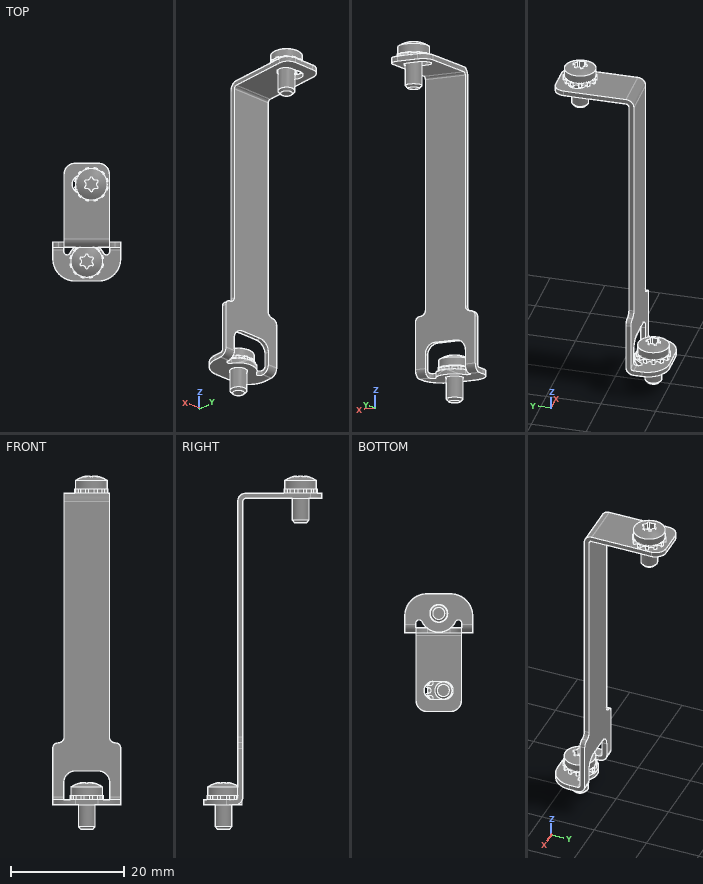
import cadquery as cq
import math

sheet = 0.95
bracket_height = 54.95
strip_width = 8.05
foot_width = 12.0
foot_reach = 6.0
top_reach = 14.8
bend_inner = 0.5
bend_outer = bend_inner + sheet
foot_corner = 4.0
top_corner = 2.0
shoulder_radius = (foot_width - strip_width) / 4
shoulder_top = 11.95

window_top = 6.0
window_corner = 2.0
tab_radius = 3.3
relief_radius = 0.55

hole_diameter = 3.2
slot_length = 5.1
foot_screw_y = -2.5
top_screw_x = 0.8
top_screw_y = 11.1

shank_radius = 1.5
shank_length = 6.0
tip_radius = 1.05
tip_height = 0.5
head_radius = 2.8
head_side = 1.5
dome_rise = 0.9
lobe_count = 6
lobe_radius = 1.3
lobe_corner_radius = 1.25
lobe_half_angle = 8
valley_radius = 0.95
recess_depth = 1.5

washer_thickness = 0.75
washer_radius = 3.0
tooth_count = 12
gap_width = 1.0
gap_root_radius = 2.2


def polar(radius, degrees):
    angle = math.radians(degrees)
    return radius * math.cos(angle), radius * math.sin(angle)


def make_bent_sheet():
    """Full-width sheet: upright with the foot flange forward and the top flange backward."""
    foot_bend = (-bend_inner, bend_outer)
    top_bend = (bend_outer, bracket_height - bend_outer)
    diagonal = math.sqrt(0.5)
    profile = (
        cq.Workplane("YZ")
        .moveTo(-foot_reach, 0)
        .lineTo(foot_bend[0], 0)
        .threePointArc(
            (foot_bend[0] + bend_outer * diagonal, foot_bend[1] - bend_outer * diagonal),
            (sheet, bend_outer),
        )
        .lineTo(sheet, top_bend[1])
        .threePointArc(
            (top_bend[0] - bend_inner * diagonal, top_bend[1] + bend_inner * diagonal),
            (top_bend[0], bracket_height - sheet),
        )
        .lineTo(top_reach, bracket_height - sheet)
        .lineTo(top_reach, bracket_height)
        .lineTo(top_bend[0], bracket_height)
        .threePointArc(
            (top_bend[0] - bend_outer * diagonal, top_bend[1] + bend_outer * diagonal),
            (0, top_bend[1]),
        )
        .lineTo(0, bend_outer)
        .threePointArc(
            (foot_bend[0] + bend_inner * diagonal, foot_bend[1] - bend_inner * diagonal),
            (foot_bend[0], sheet),
        )
        .lineTo(-foot_reach, sheet)
        .close()
    )
    return profile.extrude(foot_width / 2, both=True)


def make_side_trim(side):
    """Waste beside the narrow strip, ending at an S-shaped shoulder of two quarter arcs."""
    arc_sag = shoulder_radius * math.sqrt(0.5)
    inner = strip_width / 2
    middle = inner + shoulder_radius
    outer = foot_width / 2
    shoulder_middle = shoulder_top - shoulder_radius
    shoulder_bottom = shoulder_middle - shoulder_radius
    return (
        cq.Workplane("XZ", origin=(0, top_reach, 0))
        .moveTo(side * inner, bracket_height)
        .lineTo(side * inner, shoulder_top)
        .threePointArc(
            (side * (middle - arc_sag), shoulder_top - arc_sag),
            (side * middle, shoulder_middle),
        )
        .threePointArc(
            (side * (middle + arc_sag), shoulder_bottom + arc_sag),
            (side * outer, shoulder_bottom),
        )
        .lineTo(side * outer, bracket_height)
        .close()
        .extrude(top_reach + foot_reach)
    )


def make_window():
    """Opening in the upright above the foot flange, with rounded upper corners."""
    depth = sheet + bend_inner
    return (
        cq.Workplane("XY", origin=(0, sheet - depth / 2, sheet))
        .rect(strip_width, depth)
        .extrude(window_top - sheet)
        .edges("|Y and >Z")
        .fillet(window_corner)
    )


def make_foot_notch():
    """Notch through the foot bend, leaving a round tab between two rounded reliefs."""
    half_width = strip_width / 2
    relief_x = half_width - relief_radius
    centre_distance = tab_radius + relief_radius
    relief_y = foot_screw_y + math.sqrt(centre_distance**2 - relief_x**2)
    tangent_x = relief_x * tab_radius / centre_distance
    tangent_y = foot_screw_y + (relief_y - foot_screw_y) * tab_radius / centre_distance
    relief_bottom = relief_y - relief_radius
    return (
        cq.Workplane("XY")
        .moveTo(-half_width, sheet)
        .lineTo(-half_width, relief_y)
        .threePointArc((-relief_x, relief_bottom), (-tangent_x, tangent_y))
        .threePointArc((0, foot_screw_y + tab_radius), (tangent_x, tangent_y))
        .threePointArc((relief_x, relief_bottom), (half_width, relief_y))
        .lineTo(half_width, sheet)
        .close()
        .extrude(sheet)
    )


def make_bracket():
    body = make_bent_sheet()
    for side in (-1, 1):
        body = body.cut(make_side_trim(side))
    body = body.edges("|Z and <Y").fillet(foot_corner)
    body = body.edges("|Z and >Y").fillet(top_corner)
    body = body.cut(make_window()).cut(make_foot_notch())

    tab = cq.Workplane("XY").center(0, foot_screw_y).circle(tab_radius).extrude(sheet)
    foot_hole = cq.Workplane("XY").center(0, foot_screw_y).circle(hole_diameter / 2).extrude(sheet)
    top_slot = (
        cq.Workplane("XY", origin=(0, top_screw_y, bracket_height - sheet))
        .slot2D(slot_length, hole_diameter)
        .extrude(sheet)
    )
    return body.union(tab).cut(foot_hole).cut(top_slot)


def make_recess():
    """Six-lobed driver recess in the screw head."""
    pitch = 360 / lobe_count
    first_lobe = 90
    outline = cq.Workplane("XY", origin=(0, 0, head_side + dome_rise - recess_depth))
    outline = outline.moveTo(*polar(lobe_corner_radius, first_lobe - lobe_half_angle))
    for index in range(lobe_count):
        lobe = first_lobe + index * pitch
        outline = outline.threePointArc(
            polar(lobe_radius, lobe), polar(lobe_corner_radius, lobe + lobe_half_angle)
        )
        outline = outline.threePointArc(
            polar(valley_radius, lobe + pitch / 2),
            polar(lobe_corner_radius, lobe + pitch - lobe_half_angle),
        )
    return outline.close().extrude(recess_depth)


def make_screw():
    """Domed screw on the Z axis, with the underside of its head at Z = 0."""
    head_top = head_side + dome_rise
    dome_radius = (head_radius**2 + dome_rise**2) / (2 * dome_rise)
    mid_radius = head_radius / 2
    mid_height = head_top - dome_radius + math.sqrt(dome_radius**2 - mid_radius**2)
    blank = (
        cq.Workplane("XZ")
        .moveTo(0, -shank_length)
        .lineTo(tip_radius, -shank_length)
        .lineTo(shank_radius, tip_height - shank_length)
        .lineTo(shank_radius, 0)
        .lineTo(head_radius, 0)
        .lineTo(head_radius, head_side)
        .threePointArc((mid_radius, mid_height), (0, head_top))
        .close()
        .revolve(360, (0, 0, 0), (0, 1, 0))
    )
    return blank.cut(make_recess())


def make_washer():
    """Washer on the Z axis with its upper face at Z = 0; round-ended gaps leave outer teeth."""
    base = cq.Workplane("XY", origin=(0, 0, -washer_thickness))
    ring = base.circle(washer_radius).circle(shank_radius).extrude(washer_thickness)
    gap_length = 2 * (washer_radius - gap_root_radius) + gap_width
    gaps = (
        base.polarArray(gap_root_radius + gap_length / 2, 0, 360, tooth_count)
        .slot2D(gap_length, gap_width)
        .extrude(washer_thickness)
    )
    return ring.cut(gaps)


head_seats = [
    (0, foot_screw_y, sheet + washer_thickness),
    (top_screw_x, top_screw_y, bracket_height + washer_thickness),
]

bracket = make_bracket()
screws = [make_screw().translate(seat) for seat in head_seats]
washers = [make_washer().translate(seat) for seat in head_seats]

result = cq.Compound.makeCompound(
    [
        bracket.val(),
        *[screw.val() for screw in screws],
        *[washer.val() for washer in washers],
    ]
)